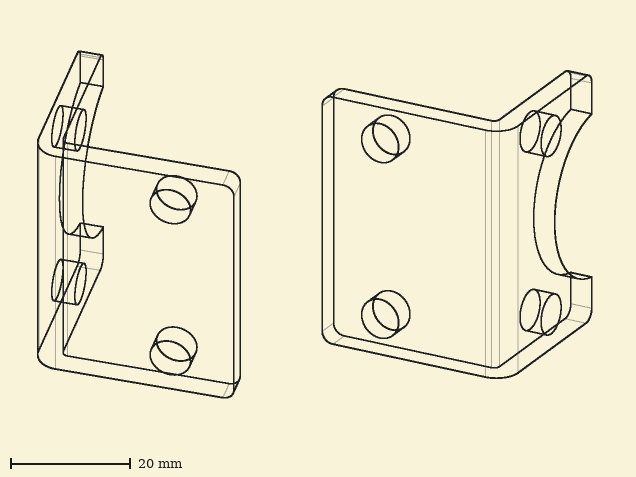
import cadquery as cq
import math

base_length = 35.0
side_length = 30.0
height = 45.0
thickness = 4.0
bend_outer_radius = thickness
bend_inner_radius = 1.0
corner_radius = 2.0

hole_diameter = 7.0
base_hole_x = 24.0
base_hole_spacing = 32.0

opening_radius = 15.0
opening_center_y = 32.0
bolt_circle_radius = 23.0
bolt_angle = math.radians(45)


def bent_plate():
    """L-shaped profile extruded along Z, with the bend and the free corners rounded."""
    plate = (
        cq.Workplane("XY")
        .polyline([
            (0, 0),
            (base_length, 0),
            (base_length, thickness),
            (thickness, thickness),
            (thickness, side_length),
            (0, side_length),
        ])
        .close()
        .extrude(height / 2, both=True)
    )
    plate = plate.edges(cq.NearestToPointSelector((0, 0, 0))).fillet(bend_outer_radius)
    inner_corner = (thickness, thickness, 0)
    plate = plate.edges(cq.NearestToPointSelector(inner_corner)).fillet(bend_inner_radius)
    plate = plate.faces(">X").edges("|Y").fillet(corner_radius)
    return plate.faces(">Y").edges("|X").fillet(corner_radius)


def base_holes():
    """Cutters through the base leg, along Y."""
    half_spacing = base_hole_spacing / 2
    return (
        cq.Workplane("XZ")
        .pushPoints([(base_hole_x, -half_spacing), (base_hole_x, half_spacing)])
        .circle(hole_diameter / 2)
        .extrude(-thickness)
    )


def side_opening():
    """Cutter for the round opening at the free edge of the side leg, along X."""
    return cq.Workplane("YZ").center(opening_center_y, 0).circle(opening_radius).extrude(thickness)


def side_holes():
    """Cutters through the side leg, placed on the bolt circle around the opening."""
    hole_y = opening_center_y - bolt_circle_radius * math.cos(bolt_angle)
    hole_z = bolt_circle_radius * math.sin(bolt_angle)
    return (
        cq.Workplane("YZ")
        .pushPoints([(hole_y, -hole_z), (hole_y, hole_z)])
        .circle(hole_diameter / 2)
        .extrude(thickness)
    )


result = bent_plate().cut(base_holes()).cut(side_opening()).cut(side_holes())